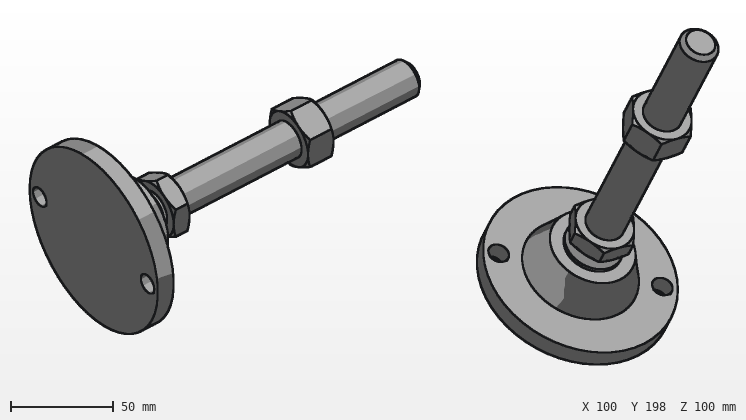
import cadquery as cq
import math


PLATE_DIAMETER = 100.0
PLATE_THICKNESS = 10.0
HOLE_DIAMETER = 10.5
HOLE_SPACING = 84.0

HUB_BASE_RADIUS = 30.0
HUB_TOP_RADIUS = 22.0
HUB_HEIGHT = 19.0

SPINDLE_RADIUS = 10.0
SPINDLE_TIP_CHAMFER = 2.5
COLLAR_RADIUS = 15.0
COLLAR_HEIGHT = 2.0
NECK_HEIGHT = 2.0
OVERALL_HEIGHT = 198.0

NUT_ACROSS_FLATS = 30.0
HEX_HALF_ANGLE = 30.0
NUT_CHAMFER_ANGLE = 30.0
FIXED_NUT_HEIGHT = 10.0
LOCK_NUT_HEIGHT = 16.0
LOCK_NUT_TO_TIP = 60.0

HUB_TOP = PLATE_THICKNESS + HUB_HEIGHT
COLLAR_TOP = HUB_TOP + COLLAR_HEIGHT
COLLAR_CONE_TOP = COLLAR_TOP + COLLAR_RADIUS - SPINDLE_RADIUS
FIXED_NUT_BASE = COLLAR_CONE_TOP + NECK_HEIGHT
LOCK_NUT_BASE = OVERALL_HEIGHT - LOCK_NUT_TO_TIP - LOCK_NUT_HEIGHT


def revolve_about_spindle(profile):
    """Full turn of a (radius, level) profile about the Y axis, with its seam on the -X side."""
    points = [(-radius, level) for radius, level in profile]
    return cq.Workplane("XY").polyline(points).close().revolve(360, (0, 0), (0, 1))


def make_turned_body():
    """Plate, hub, collar and spindle revolved as one profile."""
    profile = [
        (0, 0),
        (PLATE_DIAMETER / 2, 0),
        (PLATE_DIAMETER / 2, PLATE_THICKNESS),
        (HUB_BASE_RADIUS, PLATE_THICKNESS),
        (HUB_TOP_RADIUS, HUB_TOP),
        (COLLAR_RADIUS, HUB_TOP),
        (COLLAR_RADIUS, COLLAR_TOP),
        (SPINDLE_RADIUS, COLLAR_CONE_TOP),
        (SPINDLE_RADIUS, OVERALL_HEIGHT - SPINDLE_TIP_CHAMFER),
        (SPINDLE_RADIUS - SPINDLE_TIP_CHAMFER, OVERALL_HEIGHT),
        (0, OVERALL_HEIGHT),
    ]
    return revolve_about_spindle(profile)


def make_nut(base, height):
    """Hexagon nut with flats facing +X and -X and both ends chamfered."""
    face_radius = NUT_ACROSS_FLATS / 2
    corner_radius = face_radius / math.cos(math.radians(HEX_HALF_ANGLE))
    chamfer_drop = (corner_radius - face_radius) * math.tan(math.radians(NUT_CHAMFER_ANGLE))
    hexagon = (
        cq.Workplane("XZ", origin=(0, base, 0))
        .transformed(rotate=(0, 0, HEX_HALF_ANGLE))
        .polygon(6, 2 * corner_radius)
        .extrude(-height)
    )
    envelope_profile = [
        (0, base),
        (face_radius, base),
        (corner_radius, base + chamfer_drop),
        (corner_radius, base + height - chamfer_drop),
        (face_radius, base + height),
        (0, base + height),
    ]
    return hexagon.intersect(revolve_about_spindle(envelope_profile))


def make_plate_holes():
    """Two fixing holes through the plate, on the X axis."""
    return (
        cq.Workplane("XZ")
        .pushPoints([(-HOLE_SPACING / 2, 0), (HOLE_SPACING / 2, 0)])
        .circle(HOLE_DIAMETER / 2)
        .extrude(-PLATE_THICKNESS)
    )


result = (
    make_turned_body()
    .union(make_nut(FIXED_NUT_BASE, FIXED_NUT_HEIGHT))
    .union(make_nut(LOCK_NUT_BASE, LOCK_NUT_HEIGHT))
    .cut(make_plate_holes())
)